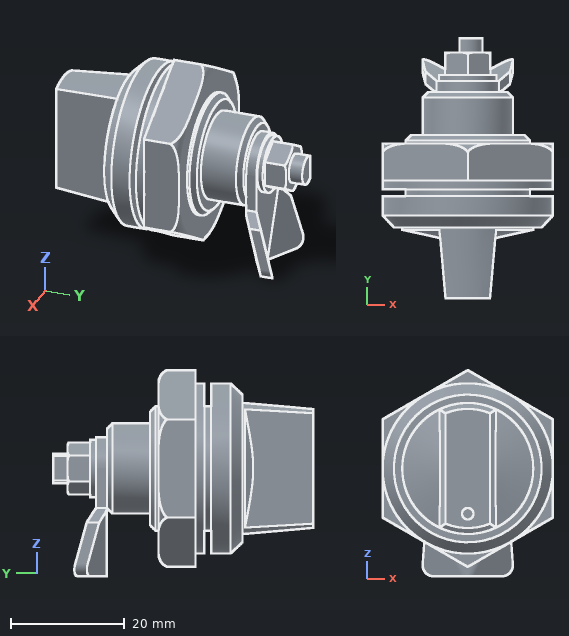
import cadquery as cq
import math


KNOB_FRONT_Y = -18.0
GRIP_BASE_Y = -5.95
FLANGE_FRONT_Y = -5.55
FLANGE_CHAMFER_Y = -3.45
LARGE_NUT_FRONT_Y = 1.2
LARGE_NUT_COLLAR = 1.5
LARGE_NUT_BACK_Y = 9.3
SLEEVE_END_Y = 10.75
HOUSING_BACK_Y = 18.35
CAM_THICKNESS = 1.92
CAM_BACK_Y = HOUSING_BACK_Y + CAM_THICKNESS
SMALL_NUT_COLLAR = 1.0
SMALL_NUT_BACK_Y = 25.3
SHAFT_END_Y = 27.8

LARGE_NUT_FLATS = 30.0
LARGE_NUT_ROUNDING = 2.5

FLANGE_RADIUS = LARGE_NUT_FLATS / 2
FLANGE_FACE_RADIUS = 13.0
SLEEVE_RADIUS = 11.0
BARREL_RADIUS = 7.95
END_CHAMFER = 1.0

SHAFT_RADIUS = 2.6
SHAFT_FLAT_X = -1.45
KNOB_RADIUS = 11.55
DOME_SLOPE = 0.22
GRIP_BASE_HALF_WIDTH = 5.0
GRIP_TAPER = math.tan(math.radians(5))
DOT_RADIUS = 1.0
DOT_DEPTH = 1.0
DOT_Z = -7.95

HEX_SIDES = 6
HEX_HALF_ANGLE = 180 / HEX_SIDES

SMALL_NUT_FLATS = 7.95
SMALL_NUT_ROUNDING = 0.82
SMALL_NUT_COLLAR_RADIUS = 5.1

CAM_HUB_RADIUS = 5.5
CAM_BOTTOM_Z = -19.0
FOLD_TOP_Z = -6.95
FOLD_ANGLE = math.radians(30)
WING_SHOULDER = (7.4, -9.5)
WING_HALF_WIDTH = 7.95
WING_CORNER_RADIUS = 2.0
WING_REACH = 13.75


def revolve_about_y(outline):
    """Turn a closed outline of (radius, y) points about the Y axis."""
    return outline.close().revolve(360, (0, 0, 0), (0, 1, 0))


def cylinder(radius, start_y, end_y):
    plane = cq.Workplane("XZ", origin=(0, start_y, 0))
    return plane.circle(radius).extrude(start_y - end_y)


def keyed_shaft(start_y, end_y):
    """Round bar with one flat on its -X side."""
    bar = cylinder(SHAFT_RADIUS, start_y, end_y)
    length = end_y - start_y
    keep = cq.Workplane("XY").box(
        2 * SHAFT_RADIUS, length, 2 * SHAFT_RADIUS, centered=(False, False, True)
    )
    return bar.intersect(keep.translate((SHAFT_FLAT_X, start_y, 0)))


def make_housing():
    """Chamfered flange, plain sleeve and rear barrel, bored for the shaft."""
    outline = cq.Workplane("XY").polyline([
        (SHAFT_RADIUS, FLANGE_FRONT_Y),
        (FLANGE_FACE_RADIUS, FLANGE_FRONT_Y),
        (FLANGE_RADIUS, FLANGE_CHAMFER_Y),
        (FLANGE_RADIUS, 0),
        (SLEEVE_RADIUS, 0),
        (SLEEVE_RADIUS, SLEEVE_END_Y - END_CHAMFER),
        (SLEEVE_RADIUS - END_CHAMFER, SLEEVE_END_Y),
        (BARREL_RADIUS, SLEEVE_END_Y),
        (BARREL_RADIUS, HOUSING_BACK_Y - END_CHAMFER),
        (BARREL_RADIUS - END_CHAMFER, HOUSING_BACK_Y),
        (SHAFT_RADIUS, HOUSING_BACK_Y),
    ])
    return revolve_about_y(outline)


def make_grip():
    """Tapered bar: a cone trimmed by two sloping sides."""
    length = GRIP_BASE_Y - KNOB_FRONT_Y
    narrowing = GRIP_TAPER * length
    cone = revolve_about_y(cq.Workplane("XY").polyline([
        (0, GRIP_BASE_Y),
        (KNOB_RADIUS, GRIP_BASE_Y),
        (KNOB_RADIUS - narrowing, KNOB_FRONT_Y),
        (0, KNOB_FRONT_Y),
    ]))
    front_half_width = GRIP_BASE_HALF_WIDTH - narrowing
    wedge = (
        cq.Workplane("XY")
        .polyline([
            (-GRIP_BASE_HALF_WIDTH, GRIP_BASE_Y),
            (GRIP_BASE_HALF_WIDTH, GRIP_BASE_Y),
            (front_half_width, KNOB_FRONT_Y),
            (-front_half_width, KNOB_FRONT_Y),
        ])
        .close()
        .extrude(KNOB_RADIUS, both=True)
    )
    return cone.intersect(wedge)


def make_knob():
    """Low conical dome with a grip bar in front and the keyed shaft behind."""
    dome = revolve_about_y(cq.Workplane("XY").polyline([
        (0, FLANGE_FRONT_Y),
        (KNOB_RADIUS, FLANGE_FRONT_Y),
        (KNOB_RADIUS, GRIP_BASE_Y),
        (0, GRIP_BASE_Y - DOME_SLOPE * KNOB_RADIUS),
    ]))
    journal = cylinder(SHAFT_RADIUS, FLANGE_FRONT_Y, HOUSING_BACK_Y)
    key = keyed_shaft(HOUSING_BACK_Y, SHAFT_END_Y)
    dot = cylinder(DOT_RADIUS, KNOB_FRONT_Y, KNOB_FRONT_Y + DOT_DEPTH).translate((0, 0, DOT_Z))
    return dome.union(make_grip()).union(journal).union(key).cut(dot)


def make_nut(flats, rounding, front_y, collar_length, collar_radius, back_y):
    """Hexagon with corners up and down, rounded at the back, and a round collar in front."""
    hex_front_y = front_y + collar_length
    corner_diameter = flats / math.cos(math.radians(HEX_HALF_ANGLE))
    hexagon = (
        cq.Workplane("XZ", origin=(0, hex_front_y, 0))
        .transformed(rotate=(0, 0, HEX_HALF_ANGLE))
        .polygon(HEX_SIDES, corner_diameter)
        .extrude(hex_front_y - back_y)
    )
    rounding_start = flats / 2
    outer_radius = rounding_start + rounding
    rounded_blank = revolve_about_y(
        cq.Workplane("XY")
        .moveTo(0, hex_front_y)
        .lineTo(outer_radius, hex_front_y)
        .lineTo(outer_radius, back_y - rounding)
        .radiusArc((rounding_start, back_y), -rounding)
        .lineTo(0, back_y)
    )
    collar = cylinder(collar_radius, front_y, hex_front_y)
    return hexagon.intersect(rounded_blank).union(collar)


def make_large_nut():
    nut = make_nut(
        LARGE_NUT_FLATS, LARGE_NUT_ROUNDING,
        LARGE_NUT_FRONT_Y, LARGE_NUT_COLLAR, FLANGE_RADIUS, LARGE_NUT_BACK_Y,
    )
    return nut.cut(cylinder(SLEEVE_RADIUS, LARGE_NUT_FRONT_Y, LARGE_NUT_BACK_Y))


def make_small_nut():
    nut = make_nut(
        SMALL_NUT_FLATS, SMALL_NUT_ROUNDING,
        CAM_BACK_Y, SMALL_NUT_COLLAR, SMALL_NUT_COLLAR_RADIUS, SMALL_NUT_BACK_Y,
    )
    return nut.cut(keyed_shaft(CAM_BACK_Y, SMALL_NUT_BACK_Y))


def make_right_wing():
    """Half of the cam tip, bent backward about a slanted fold line on the back face."""
    fold_rise = FOLD_TOP_Z - CAM_BOTTOM_Z
    fold_plane = cq.Plane(
        origin=(0, CAM_BACK_Y, CAM_BOTTOM_Z),
        xDir=(fold_rise, 0, -CAM_HUB_RADIUS),
        normal=(CAM_HUB_RADIUS, 0, fold_rise),
    )
    along = (math.cos(FOLD_ANGLE), math.sin(FOLD_ANGLE))
    bend_end = (CAM_THICKNESS * along[1], -CAM_THICKNESS * along[0])
    bend_middle = (
        CAM_THICKNESS * math.sin(FOLD_ANGLE / 2),
        -CAM_THICKNESS * math.cos(FOLD_ANGLE / 2),
    )
    tip_back = (WING_REACH * along[0], WING_REACH * along[1])
    tip_front = (tip_back[0] + bend_end[0], tip_back[1] + bend_end[1])
    bent_plate = (
        cq.Workplane(fold_plane)
        .lineTo(0, -CAM_THICKNESS)
        .threePointArc(bend_middle, bend_end)
        .lineTo(*tip_front)
        .lineTo(*tip_back)
        .close()
        .extrude(2 * WING_REACH, both=True)
    )
    outline = (
        cq.Workplane("XZ", origin=(0, HOUSING_BACK_Y, 0))
        .moveTo(0, CAM_BOTTOM_Z)
        .lineTo(0, FOLD_TOP_Z)
        .lineTo(CAM_HUB_RADIUS, FOLD_TOP_Z)
        .lineTo(*WING_SHOULDER)
        .lineTo(WING_HALF_WIDTH, CAM_BOTTOM_Z + WING_CORNER_RADIUS)
        .radiusArc((WING_HALF_WIDTH - WING_CORNER_RADIUS, CAM_BOTTOM_Z), WING_CORNER_RADIUS)
        .close()
        .extrude(-WING_REACH)
    )
    return bent_plate.intersect(outline)


def make_cam():
    """Flat arm that tapers between two fold lines, with a wing bent back on each side."""
    hub = cylinder(CAM_HUB_RADIUS, HOUSING_BACK_Y, CAM_BACK_Y)
    arm = (
        cq.Workplane("XZ", origin=(0, HOUSING_BACK_Y, 0))
        .polyline([
            (-CAM_HUB_RADIUS, 0),
            (-CAM_HUB_RADIUS, FOLD_TOP_Z),
            (0, CAM_BOTTOM_Z),
            (CAM_HUB_RADIUS, FOLD_TOP_Z),
            (CAM_HUB_RADIUS, 0),
        ])
        .close()
        .extrude(-CAM_THICKNESS)
    )
    right_wing = make_right_wing()
    left_wing = right_wing.mirror("YZ")
    cam = hub.union(arm).union(right_wing).union(left_wing)
    return cam.cut(keyed_shaft(HOUSING_BACK_Y, CAM_BACK_Y))


housing = make_housing()
knob = make_knob()
large_nut = make_large_nut()
cam = make_cam()
small_nut = make_small_nut()

result = cq.Compound.makeCompound([
    housing.val(),
    knob.val(),
    large_nut.val(),
    cam.val(),
    small_nut.val(),
])